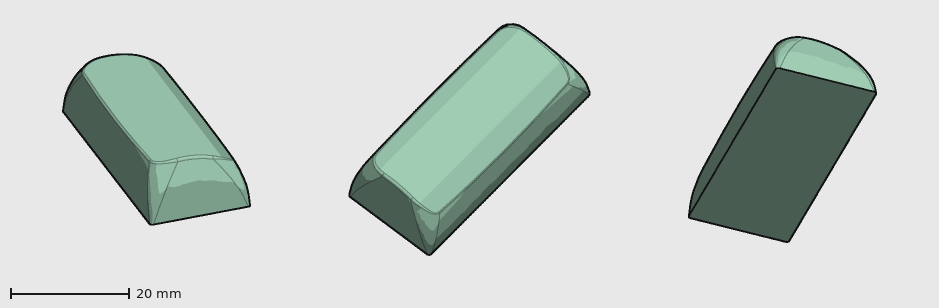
import cadquery as cq
import math

length = 42.0
depth = 18.25
height = 10.55

wall_rise = 1.7
end_wall_radius = 16.6
front_wall_radius = 18.9
back_wall_radius = 15.35

base_corner_radius = 0.5
corner_growth = 0.35

crest_side_bow = 0.65
crest_end_bow = 0.67

crest_tilt = 5.5

crown_radius = 15.4
crest_y = -1.9

top_edge_radius = 0.65

loft_top = height + 0.85
section_heights = [0, wall_rise / 2, wall_rise, 2.52, 3.8, 5.9, 7.55, 9.25, loft_top]


def wall_inset(radius, z):
    """Distance a wall has moved inward at height z."""
    rise = max(z - wall_rise, 0)
    return radius - math.sqrt(radius**2 - rise**2)


def wall_edge(start, middle, end):
    """Outline edge of one wall: straight at the base, an arc above it."""
    if start.z == 0:
        return cq.Edge.makeLine(start, end)
    return cq.Edge.makeThreePointArc(start, middle, end)


def section(z):
    """Rounded outline at height z, with bowed walls, tipped about the X axis."""
    right_x = length / 2 - wall_inset(end_wall_radius, z)
    front_y = -depth / 2 + wall_inset(front_wall_radius, z)
    back_y = depth / 2 - wall_inset(back_wall_radius, z)
    middle_y = (front_y + back_y) / 2
    bow = (z / height) ** 2
    corner_x = right_x - crest_end_bow * bow
    front_corner_y = front_y + crest_side_bow * bow
    back_corner_y = back_y - crest_side_bow * bow

    front_left = cq.Vector(-corner_x, front_corner_y, z)
    front_right = cq.Vector(corner_x, front_corner_y, z)
    back_right = cq.Vector(corner_x, back_corner_y, z)
    back_left = cq.Vector(-corner_x, back_corner_y, z)

    walls = [
        wall_edge(front_left, cq.Vector(0, front_y, z), front_right),
        wall_edge(front_right, cq.Vector(right_x, middle_y, z), back_right),
        wall_edge(back_right, cq.Vector(0, back_y, z), back_left),
        wall_edge(back_left, cq.Vector(-right_x, middle_y, z), front_left),
    ]
    outline = cq.Wire.assembleEdges(walls)
    corner_radius = base_corner_radius + corner_growth * z
    rounded = outline.fillet2D(corner_radius, outline.Vertices())
    tilt = crest_tilt * z / height
    return rounded.rotate(cq.Vector(0, 0, z), cq.Vector(0.4, 0, z), -tilt)


def make_walls():
    return cq.Workplane(cq.Solid.makeLoft([section(z) for z in section_heights]))


def make_crown():
    """Cylinder whose upper surface forms the convex top."""
    return (
        cq.Workplane("YZ")
        .center(crest_y, height - crown_radius)
        .circle(crown_radius)
        .extrude(length, both=True)
    )


body = make_walls().intersect(make_crown())
crown_face = body.faces("%CYLINDER")
result = crown_face.edges().fillet(top_edge_radius)